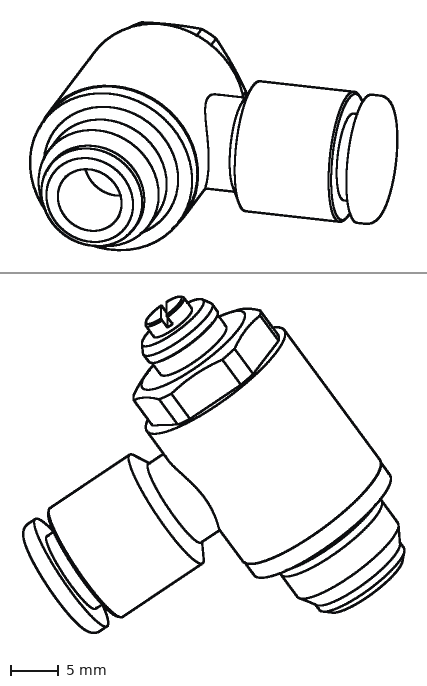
import cadquery as cq

tip_edge_y = 0.78
tip_land_y = 1.6
thread_start_y = 3.35
thread_end_y = 6.35
relief_y = 7.03
seal_front_y = 7.25
flange_y = 8.03
body_start_y = 9.95
body_end_y = 27.53
hex_end_y = 31.6
collar_y = 33.5
collar_bevel_y = 34.45
collar_end_y = 35.35
total_length = 37.0

bore_d = 7.0
tip_face_d = 9.5
tip_d = 11.05
thread_d = 13.17
relief_d = 11.2
seal_d = 14.73
flange_d = 17.8
body_d = 18.0
neck_d = 8.6
collar_d = 9.0
collar_face_d = 8.0
screw_d = 5.0

bore_depth = 10.0
screw_chamfer = 0.2
slot_width = 0.65
slot_depth = 1.15

hex_flats = 15.0
hex_corner_d = 16.35
hex_face_d = 13.32
hex_bevel = 0.65

branch_y = 18.9
stub_d = 10.0
barrel_d = 13.8
ring_neck_d = 9.2
ring_d = 13.6
barrel_start_x = 11.3
barrel_full_x = 12.4
barrel_end_x = 22.9
barrel_chamfer = 0.22
ring_start_x = 24.6
ring_end_x = 26.5
ring_round = 0.95


def cylinder_y(diameter, start, end):
    """Solid cylinder about the Y axis between two positions."""
    plane = cq.Plane(origin=(0, start, 0), xDir=(1, 0, 0), normal=(0, 1, 0))
    return cq.Workplane(plane).circle(diameter / 2).extrude(end - start)


def cylinder_x(diameter, start, end):
    """Solid cylinder about the branch axis between two positions."""
    plane = cq.Workplane("YZ", origin=(start, branch_y, 0))
    return plane.circle(diameter / 2).extrude(end - start)


def turned_y(stations):
    """Revolve a (diameter, position) profile about the Y axis."""
    outline = [(0, stations[0][1])]
    outline += [(diameter / 2, y) for diameter, y in stations]
    outline.append((0, stations[-1][1]))
    return cq.Workplane("XY").polyline(outline).close().revolve(360, (0, 0, 0), (0, 1, 0))


def make_threaded_end():
    return turned_y([
        (tip_face_d, 0),
        (tip_d, tip_edge_y),
        (tip_d, tip_land_y),
        (thread_d, thread_start_y),
        (thread_d, thread_end_y),
        (relief_d, relief_y),
        (relief_d, flange_y),
    ])


def make_seal():
    """O-ring half sunk into the flange face."""
    section_radius = flange_y - seal_front_y
    ring_radius = seal_d / 2 - section_radius
    section = cq.Workplane("XY").center(ring_radius, flange_y).circle(section_radius)
    return section.revolve(360, (-ring_radius, 0, 0), (-ring_radius, 1, 0))


def make_body():
    flange = cylinder_y(flange_d, flange_y, body_start_y)
    return flange.union(cylinder_y(body_d, body_start_y, body_end_y))


def make_hexagon():
    """Hexagon with flats facing +Z and -Z, rounded corners and a bevelled end."""
    plane = cq.Plane(origin=(0, body_end_y, 0), xDir=(0, 0, 1), normal=(0, 1, 0))
    prism = cq.Workplane(plane).polygon(6, hex_flats, circumscribed=True).extrude(hex_end_y - body_end_y)
    envelope = turned_y([
        (hex_corner_d, body_end_y),
        (hex_corner_d, hex_end_y - hex_bevel),
        (hex_face_d, hex_end_y),
    ])
    return prism.intersect(envelope)


def make_adjuster():
    """Collared neck carrying the slotted adjusting screw."""
    collar = turned_y([
        (neck_d, hex_end_y),
        (neck_d, collar_y),
        (collar_d, collar_y),
        (collar_d, collar_bevel_y),
        (collar_face_d, collar_end_y),
    ])
    screw = cylinder_y(screw_d, collar_end_y, total_length).faces(">Y").edges().chamfer(screw_chamfer)
    slot = cq.Workplane("XY").box(slot_width, 2 * slot_depth, screw_d).translate((0, total_length, 0))
    return collar.union(screw.cut(slot))


def make_branch():
    """Stub, barrel with a conical shoulder, and rounded release ring."""
    stub = cylinder_x(stub_d, 0, barrel_start_x)
    shoulder = (
        cq.Workplane("YZ", origin=(barrel_start_x, branch_y, 0))
        .circle(stub_d / 2)
        .workplane(offset=barrel_full_x - barrel_start_x)
        .circle(barrel_d / 2)
        .loft(ruled=True)
    )
    barrel = cylinder_x(barrel_d, barrel_full_x, barrel_end_x).faces(">X").edges().chamfer(barrel_chamfer)
    neck = cylinder_x(ring_neck_d, barrel_end_x, ring_start_x)
    ring = cylinder_x(ring_d, ring_start_x, ring_end_x).faces(">X").edges().fillet(ring_round)
    return stub.union(shoulder).union(barrel).union(neck).union(ring)


result = (
    make_body()
    .union(make_threaded_end())
    .union(make_seal())
    .union(make_hexagon())
    .union(make_adjuster())
    .union(make_branch())
    .cut(cylinder_y(bore_d, 0, bore_depth))
)